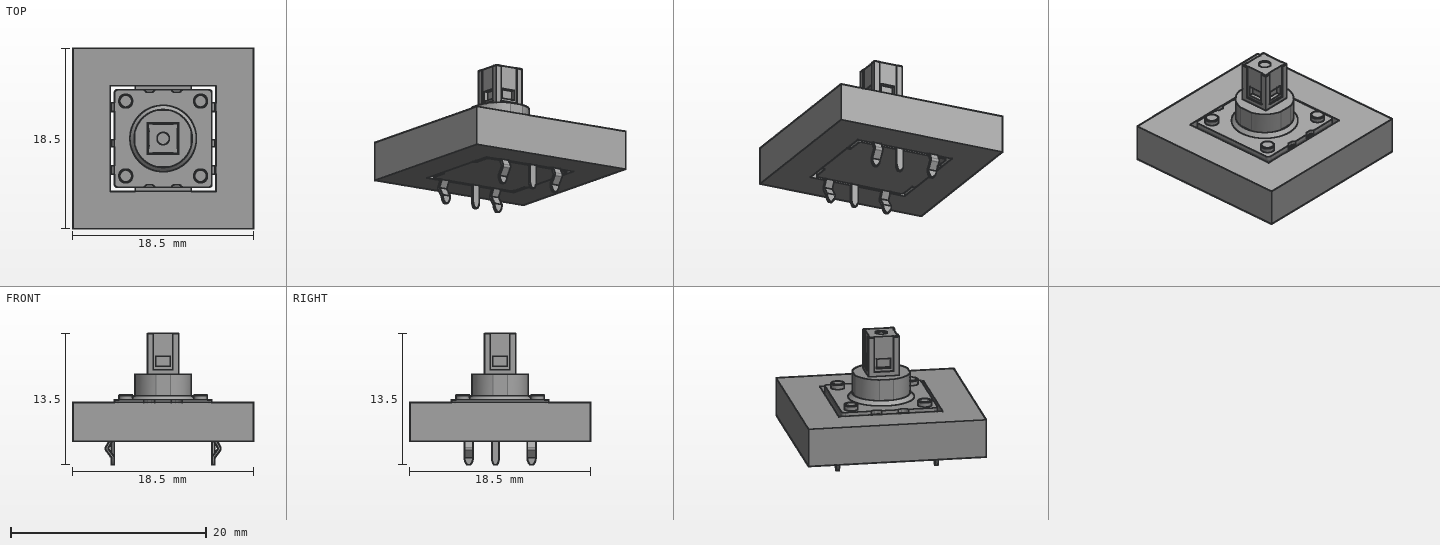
import cadquery as cq
import math


overall_height = 13.5
terminal_bottom = -6.4

frame_side = 18.5
frame_height = 4.0
frame_bottom = -frame_height
window_side = 10.8

case_side = 9.99
case_half = case_side / 2
case_corner_radius = 0.33
cover_top = 0.25
cover_thickness = 0.4
cover_bottom = cover_top - cover_thickness
tab_width = 5.75
tab_top = -1.0

notch_inner_flat = 1.22
notch_outer_flat = 1.61
notch_depth = 0.25
notch_inner_radius = 0.4
notch_outer_radius = 0.24

rivet_diameter = 1.4
rivet_spacing = 7.65
rivet_top = 0.8
rivet_chamfer = 0.1

collar_radius = 2.98
collar_flat_distance = 2.89
collar_top = 2.9
foot_radius = 3.4
foot_top = 0.68

shaft_side = 3.22
shaft_top = overall_height + terminal_bottom
shaft_chamfer = 0.1
recess_width = 2.0
recess_bottom = 3.37
recess_depth = 0.15
socket_width = 1.5
socket_bottom = 3.68
socket_height = 1.04
socket_depth = 0.46
dimple_diameter = 1.25
dimple_depth = 0.15

terminal_thickness = 0.3
terminal_top = -2.0
tip_length = 0.74
tip_width = 0.3
tip_radius = 1.11
straight_width = 0.74
straight_y = -0.48
kinked_width = 0.9
kinked_y = 3.22
kink_reach = 0.63
kink_top = -3.6
kink_apex = -4.72
kink_bottom = -5.59


def block(x_size, y_size, bottom, top):
    """Upright block centred on the Z axis."""
    return cq.Workplane("XY", origin=(0, 0, bottom)).rect(x_size, y_size).extrude(top - bottom)


def quarter_turns(shape, count=4):
    """Union of copies of a shape spread evenly around the Z axis."""
    ring = shape
    for index in range(1, count):
        ring = ring.union(shape.rotate((0, 0, 0), (0, 0, 1), index * 360 / count))
    return ring


def make_frame():
    window = block(window_side, window_side, frame_bottom, 0)
    return block(frame_side, frame_side, frame_bottom, 0).cut(window)


def make_cover_notch():
    """Cutter for one notch in the -Y edge: a round inner end and a sloping outer end."""
    floor_y = notch_depth - case_half
    rise = notch_inner_radius - notch_depth
    inner_run = math.sqrt(notch_inner_radius**2 - rise**2)
    half_angle = math.atan2(inner_run, rise) / 2
    inner_middle = (
        notch_inner_flat - notch_inner_radius * math.sin(half_angle),
        floor_y - notch_inner_radius * (1 - math.cos(half_angle)),
    )
    slope_angle = math.radians(45)
    slope_start_x = notch_outer_flat + notch_outer_radius * math.sin(slope_angle)
    slope_start_y = floor_y - notch_outer_radius * (1 - math.cos(slope_angle))
    slope_run = (slope_start_y + case_half) / math.tan(slope_angle)
    outer_middle = (
        notch_outer_flat + notch_outer_radius * math.sin(slope_angle / 2),
        floor_y - notch_outer_radius * (1 - math.cos(slope_angle / 2)),
    )
    return (
        cq.Workplane("XY", origin=(0, 0, cover_bottom))
        .moveTo(notch_inner_flat - inner_run, -case_half)
        .threePointArc(inner_middle, (notch_inner_flat, floor_y))
        .lineTo(notch_outer_flat, floor_y)
        .threePointArc(outer_middle, (slope_start_x, slope_start_y))
        .lineTo(slope_start_x + slope_run, -case_half)
        .close()
        .extrude(cover_thickness)
    )


def make_case():
    base = block(case_side, case_side, frame_bottom, cover_bottom).edges("|Z").fillet(case_corner_radius)
    cover = block(case_side, case_side, cover_bottom, cover_top).edges("|Z").fillet(case_corner_radius)
    notch = make_cover_notch()
    notch_pair = notch.union(notch.mirror("YZ"))
    cover = cover.cut(quarter_turns(notch_pair, 2))
    tabs = block(tab_width, window_side, frame_bottom, tab_top)
    return base.union(tabs).union(cover, clean=False)


def make_rivets():
    return (
        cq.Workplane("XY", origin=(0, 0, cover_top))
        .rect(rivet_spacing, rivet_spacing, forConstruction=True)
        .vertices()
        .circle(rivet_diameter / 2)
        .extrude(rivet_top - cover_top)
        .faces(">Z")
        .edges()
        .chamfer(rivet_chamfer)
    )


def make_collar():
    foot = (
        cq.Workplane("XZ")
        .moveTo(0, cover_top)
        .lineTo(foot_radius, cover_top)
        .lineTo(collar_radius, foot_top)
        .lineTo(0, foot_top)
        .close()
        .revolve(360, (0, 0, 0), (0, 1, 0))
    )
    flats = block(2 * collar_flat_distance, 2 * collar_flat_distance, foot_top, collar_top)
    barrel = (
        cq.Workplane("XY", origin=(0, 0, foot_top))
        .circle(collar_radius)
        .extrude(collar_top - foot_top)
        .intersect(flats)
    )
    return foot.union(barrel)


def make_shaft():
    shaft = block(shaft_side, shaft_side, collar_top, shaft_top).faces(">Z").edges().chamfer(shaft_chamfer)
    recess = block(recess_width, recess_depth, recess_bottom, shaft_top).translate(
        (0, (recess_depth - shaft_side) / 2, 0)
    )
    socket_inset = recess_depth + socket_depth
    socket = block(socket_width, socket_inset, socket_bottom, socket_bottom + socket_height).translate(
        (0, (socket_inset - shaft_side) / 2, 0)
    )
    dimple = (
        cq.Workplane("XY", origin=(0, 0, shaft_top)).circle(dimple_diameter / 2).extrude(-dimple_depth)
    )
    return shaft.cut(quarter_turns(recess.union(socket))).cut(dimple)


def straight_profile():
    """Side profile of a terminal strip without a kink, standing in the XZ plane."""
    return (
        cq.Workplane("XZ", origin=(0, kinked_width / 2, 0))
        .moveTo(case_half, terminal_bottom)
        .lineTo(case_half + terminal_thickness, terminal_bottom)
        .lineTo(case_half + terminal_thickness, terminal_top - terminal_thickness)
        .radiusArc((case_half, terminal_top), -terminal_thickness)
        .close()
        .extrude(kinked_width)
    )


def kink_triangle():
    return (
        cq.Workplane("XZ", origin=(0, kinked_width / 2, 0))
        .moveTo(case_half, kink_top)
        .lineTo(case_half + kink_reach, kink_apex)
        .lineTo(case_half, kink_bottom)
        .close()
    )


def kinked_profile():
    """Side profile of a terminal strip that bows outward between the kink ends."""
    hollow = kink_triangle().extrude(kinked_width)
    bow = kink_triangle().offset2D(terminal_thickness, "arc").extrude(kinked_width)
    outer_side = block(frame_side, frame_side, terminal_bottom, 0).translate(
        (case_half + frame_side / 2, 0, 0)
    )
    return straight_profile().union(bow.intersect(outer_side)).cut(hollow)


def pointed(strip, width):
    """Trim a terminal strip to its width and taper its lower end with two arcs to a narrow flat tip."""
    shoulder = terminal_bottom + tip_length
    outline = (
        cq.Workplane("YZ")
        .moveTo(-width / 2, terminal_top)
        .lineTo(-width / 2, shoulder)
        .radiusArc((-tip_width / 2, terminal_bottom), -tip_radius)
        .lineTo(tip_width / 2, terminal_bottom)
        .radiusArc((width / 2, shoulder), -tip_radius)
        .lineTo(width / 2, terminal_top)
        .close()
        .extrude(frame_side / 2)
    )
    return strip.intersect(outline)


def make_terminals():
    """Terminals on both X sides: a straight one between two kinked ones."""
    straight = pointed(straight_profile(), straight_width).translate((0, straight_y, 0))
    kinked = pointed(kinked_profile(), kinked_width)
    side = straight
    for y in (-kinked_y, kinked_y):
        side = side.union(kinked.translate((0, y, 0)))
    return side.union(side.mirror("YZ"))


terminals = make_terminals()
switch = make_case().union(make_rivets(), clean=False).union(make_collar(), clean=False)
switch = switch.union(make_shaft(), clean=False).union(terminals, clean=False)

frame = make_frame().cut(terminals)

result = cq.Compound.makeCompound([frame.solids().val(), switch.solids().val()])